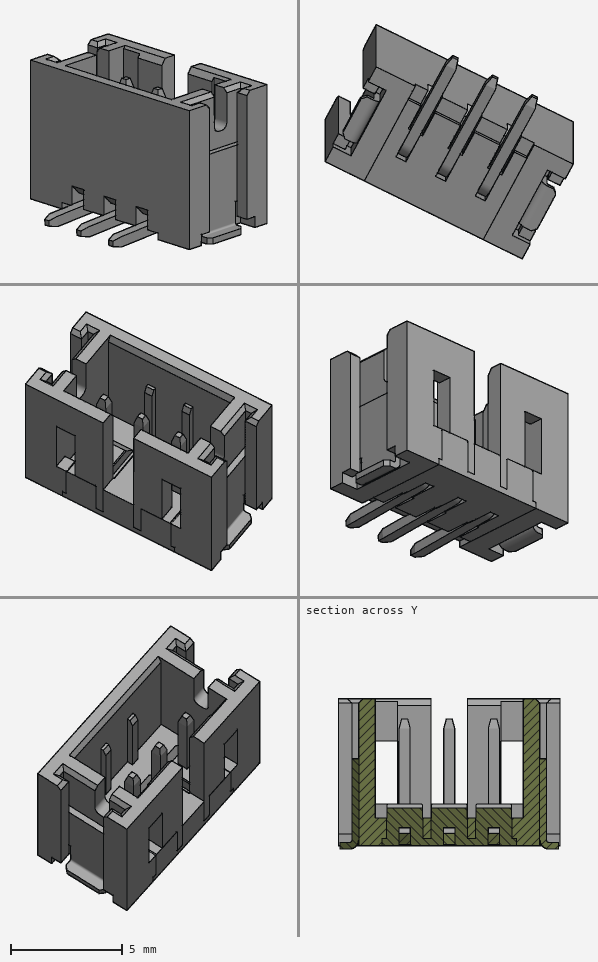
import cadquery as cq
import math


LENGTH = 9.95
DEPTH = 5.0
HEIGHT = 6.6
FRONT = -DEPTH / 2
BACK = DEPTH / 2

PIN_COUNT = 3
PITCH = 2.0
PIN_XS = [(i - (PIN_COUNT - 1) / 2) * PITCH for i in range(PIN_COUNT)]

PIN_SIZE = 0.5
POST_Y = 0.59
POST_FRONT = POST_Y - PIN_SIZE / 2
POST_BACK = POST_Y + PIN_SIZE / 2
TIP_LENGTH = 0.43
TIP_SIZE = 0.27
POST_TOP = 5.69
INNER_BEND = 0.2
OUTER_BEND = INNER_BEND + PIN_SIZE
LEG_ANGLE = 3.0
LEG_REACH = 2.0
SOLDER_LEVEL = -0.15

CAVITY_LENGTH = 6.64
CAVITY_FRONT = -1.79
CAVITY_BACK = 1.68
FLOOR = 1.25
LEAD_IN_HEIGHT = 0.3
FRONT_LEAD_IN = 0.17
BACK_LEAD_IN = 0.21

GAP_WIDTH = 1.63
RECESS_INNER_X = 2.32
RECESS_DEPTH = 0.12
WINDOW_TOP = 4.7

U_WIDTH = 0.8
U_Y = 0.44
U_BOTTOM = WINDOW_TOP
U_RADIUS = 0.31

RIB_WIDTH = 0.4
RIB_DEPTH = 0.28
RIB_CHAMFER = 0.14

TAB_THICKNESS = 0.3
TAB_OUTER_X = 4.37
TAB_INNER_X = TAB_OUTER_X - TAB_THICKNESS
TAB_WIDTH = 3.44
SLOT_MOUTH = 2.4
SLOT_CHAMFER = 0.2
FLANGE_NOTCH_HEIGHT = 0.52

TAB_TOP = 3.91
FOOT_WIDTH = 2.2
FOOT_SHOULDER = 1.25
FOOT_END_X = 4.91
FOOT_CHAMFER = 0.2
FOOT_INNER_BEND = 0.1
FOOT_OUTER_BEND = FOOT_INNER_BEND + TAB_THICKNESS

HUMP_WIDTH = 1.6
HUMP_SLOPE = 0.63
HUMP_TOP = FLOOR + HUMP_SLOPE
HUMP_CHAMFER = 0.05
RETAINER_FRONT = -0.58
BASE_LENGTH = 6.0
BASE_FRONT = CAVITY_FRONT
BASE_HEIGHT = 0.31
LEG_NOTCH_WIDTH = 0.72
LEG_NOTCH_HEIGHT = 0.8
LEG_NOTCH_FLARE = 0.45


def block(x_range, y_range, z_range):
    """Box between two limits on each axis."""
    (x0, x1), (y0, y1), (z0, z1) = x_range, y_range, z_range
    return cq.Workplane("XY").box(x1 - x0, y1 - y0, z1 - z0, centered=False).translate((x0, y0, z0))


def centered_range(middle, width):
    return (middle - width / 2, middle + width / 2)


def extrude_along_x(points, middle, width):
    """Prism with the given (y, z) outline, centred on x = middle."""
    outline = cq.Workplane("YZ").polyline(points).close()
    return outline.extrude(width / 2, both=True).translate((middle, 0, 0))


def both_ends(solid):
    """The solid together with its mirror image at the other end of the housing."""
    return solid.union(solid.mirror("YZ"))




def make_pin(x):
    """Square pin: upright post, bend, and a leg sloping gently down toward -Y; both tips taper."""
    angle = math.radians(LEG_ANGLE)
    cos_a, sin_a = math.cos(angle), math.sin(angle)
    half = PIN_SIZE / 2

    leg_end_y = FRONT - LEG_REACH + TIP_LENGTH * cos_a + TIP_SIZE / 2 * sin_a
    leg_end_z = SOLDER_LEVEL + half * cos_a
    top_corner = (leg_end_y - half * sin_a, leg_end_z + half * cos_a)
    bottom_corner = (leg_end_y + half * sin_a, leg_end_z - half * cos_a)
    inner_bend = (POST_FRONT, top_corner[1] + (POST_FRONT - top_corner[0]) * math.tan(angle))
    outer_bend = (POST_BACK, bottom_corner[1] + (POST_BACK - bottom_corner[0]) * math.tan(angle))

    post_end = POST_TOP - TIP_LENGTH
    outline = [
        (POST_FRONT, post_end),
        inner_bend,
        top_corner,
        bottom_corner,
        outer_bend,
        (POST_BACK, post_end),
    ]
    pin = extrude_along_x(outline, 0, PIN_SIZE)
    for corner, radius in ((inner_bend, INNER_BEND), (outer_bend, OUTER_BEND)):
        pin = pin.edges(cq.NearestToPointSelector((0, *corner))).fillet(radius)

    tips = (
        cq.Plane((0, POST_Y, post_end), xDir=(1, 0, 0), normal=(0, 0, 1)),
        cq.Plane((0, leg_end_y, leg_end_z), xDir=(1, 0, 0), normal=(0, -cos_a, -sin_a)),
    )
    for plane in tips:
        base = cq.Workplane(plane).rect(PIN_SIZE, PIN_SIZE)
        pin = pin.union(base.workplane(offset=TIP_LENGTH).rect(TIP_SIZE, TIP_SIZE).loft())
    return pin.translate((x, 0, 0))


def leg_notch(x):
    """Passage for one pin leg under the floor, flaring upward at 45 degrees at the front face."""
    outline = [
        (FRONT, 0),
        (FRONT, LEG_NOTCH_HEIGHT + LEG_NOTCH_FLARE),
        (FRONT + LEG_NOTCH_FLARE, LEG_NOTCH_HEIGHT),
        (RETAINER_FRONT, LEG_NOTCH_HEIGHT),
        (RETAINER_FRONT, 0),
    ]
    return extrude_along_x(outline, x, LEG_NOTCH_WIDTH)




def retainer_hump(x):
    """Raised block around one post, sloping at 45 degrees at the front and running to the back."""
    outline = [
        (RETAINER_FRONT, 0),
        (RETAINER_FRONT, FLOOR),
        (RETAINER_FRONT + HUMP_SLOPE, HUMP_TOP),
        (BACK, HUMP_TOP),
        (BACK, 0),
    ]
    hump = extrude_along_x(outline, x, HUMP_WIDTH)
    return hump.faces(">Z").edges("|Y").chamfer(HUMP_CHAMFER)


def retainer_envelope():
    """Base plate, humps and the filler of the gap, without the pin seats.

    This is also the shape of the housing's opening for the retainer.
    """
    base = block(centered_range(0, BASE_LENGTH), (BASE_FRONT, BACK), (0, BASE_HEIGHT))
    gap_filler = block(centered_range(0, GAP_WIDTH), (CAVITY_BACK, BACK), (0, HUMP_TOP))
    body = base.union(gap_filler)
    for x in PIN_XS:
        body = body.union(retainer_hump(x))
    return body


def make_retainer():
    body = retainer_envelope()
    for x in PIN_XS:
        leg_slot = block(
            centered_range(x, PIN_SIZE), (RETAINER_FRONT, POST_BACK), (0, LEG_NOTCH_HEIGHT)
        )
        body = body.cut(leg_notch(x)).cut(leg_slot).cut(make_pin(x))
    return body




def make_tab(side):
    """Upright plate with a narrower lower part bent outward into a foot; side is -1 or +1."""
    plate = block(
        (TAB_INNER_X, TAB_OUTER_X), centered_range(0, TAB_WIDTH), (FOOT_SHOULDER, TAB_TOP)
    )
    foot_top = SOLDER_LEVEL + TAB_THICKNESS
    foot = (
        cq.Workplane("XZ")
        .moveTo(TAB_INNER_X, FOOT_SHOULDER)
        .lineTo(TAB_INNER_X, SOLDER_LEVEL + FOOT_OUTER_BEND)
        .radiusArc((TAB_INNER_X + FOOT_OUTER_BEND, SOLDER_LEVEL), -FOOT_OUTER_BEND)
        .lineTo(FOOT_END_X, SOLDER_LEVEL)
        .lineTo(FOOT_END_X, foot_top)
        .lineTo(TAB_OUTER_X + FOOT_INNER_BEND, foot_top)
        .radiusArc((TAB_OUTER_X, foot_top + FOOT_INNER_BEND), FOOT_INNER_BEND)
        .lineTo(TAB_OUTER_X, FOOT_SHOULDER)
        .close()
        .extrude(FOOT_WIDTH / 2, both=True)
    )
    foot = foot.faces(">X").edges("|Z").chamfer(FOOT_CHAMFER)
    tab = plate.union(foot)
    return tab if side > 0 else tab.mirror("YZ")




def cavity():
    """Plug cavity with lead-in slopes along the tops of the front and back walls."""
    lead_in_start = HEIGHT - LEAD_IN_HEIGHT
    outline = [
        (CAVITY_FRONT, FLOOR),
        (CAVITY_FRONT, lead_in_start),
        (CAVITY_FRONT - FRONT_LEAD_IN, HEIGHT),
        (CAVITY_BACK + BACK_LEAD_IN, HEIGHT),
        (CAVITY_BACK, lead_in_start),
        (CAVITY_BACK, FLOOR),
    ]
    return extrude_along_x(outline, 0, CAVITY_LENGTH)


def back_wall_openings():
    """Central gap, and at each end a shallow recess with a window through its lower part."""
    end_x = (RECESS_INNER_X, CAVITY_LENGTH / 2)
    recess = block(end_x, (CAVITY_BACK, CAVITY_BACK + RECESS_DEPTH), (FLOOR, HEIGHT))
    window = block(end_x, (CAVITY_BACK, BACK), (HUMP_TOP, WINDOW_TOP))
    gap = block(centered_range(0, GAP_WIDTH), (CAVITY_BACK, BACK), (HUMP_TOP, HEIGHT))
    return both_ends(recess.union(window)).union(gap)


def u_notches():
    """Round-bottomed notches through both end walls."""
    notch = block((0, LENGTH / 2), centered_range(U_Y, U_WIDTH), (U_BOTTOM, HEIGHT))
    return both_ends(notch.faces("<Z").edges("|X").fillet(U_RADIUS))


def tab_slot_outline(growth):
    """Corners of a T-shaped tab slot that opens outward, widened by growth on every side."""
    inner_x = TAB_INNER_X - growth
    shoulder_x = TAB_OUTER_X + growth
    mouth_x = LENGTH / 2 + SLOT_CHAMFER
    half_slot = TAB_WIDTH / 2 + growth
    half_mouth = SLOT_MOUTH / 2 + growth
    return [
        (inner_x, -half_slot),
        (shoulder_x, -half_slot),
        (shoulder_x, -half_mouth),
        (mouth_x, -half_mouth),
        (mouth_x, half_mouth),
        (shoulder_x, half_mouth),
        (shoulder_x, half_slot),
        (inner_x, half_slot),
    ]


def tab_slots():
    """Tab slots with chamfered top edges and a notch across both flanges at the bottom."""
    slot = cq.Workplane("XY").polyline(tab_slot_outline(0)).close().extrude(HEIGHT)
    chamfer_start = cq.Workplane("XY", origin=(0, 0, HEIGHT - SLOT_CHAMFER))
    flare = (
        chamfer_start.polyline(tab_slot_outline(0))
        .close()
        .workplane(offset=SLOT_CHAMFER)
        .polyline(tab_slot_outline(SLOT_CHAMFER))
        .close()
        .loft(ruled=True)
    )
    flange_notch = block(
        (TAB_INNER_X, LENGTH / 2), centered_range(0, TAB_WIDTH), (0, FLANGE_NOTCH_HEIGHT)
    )
    return both_ends(slot.union(flare).union(flange_notch))


def front_rib(x):
    """Rib on the inside of the front wall with a slanted top."""
    rib_face = CAVITY_FRONT + RIB_DEPTH
    outline = [
        (CAVITY_FRONT, FLOOR),
        (rib_face, FLOOR),
        (rib_face, WINDOW_TOP - LEAD_IN_HEIGHT),
        (rib_face - RIB_CHAMFER, WINDOW_TOP),
        (CAVITY_FRONT, WINDOW_TOP),
    ]
    return extrude_along_x(outline, x, RIB_WIDTH)


def make_housing():
    body = block(centered_range(0, LENGTH), (FRONT, BACK), (0, HEIGHT))
    body = body.cut(cavity()).cut(back_wall_openings()).cut(u_notches()).cut(tab_slots())
    base_recess = block(centered_range(0, BASE_LENGTH), (FRONT, BACK), (0, BASE_HEIGHT))
    body = body.cut(base_recess).cut(retainer_envelope())
    for x in PIN_XS:
        body = body.cut(leg_notch(x))
    for x in (-PITCH / 2, PITCH / 2):
        body = body.union(front_rib(x))
    return body



housing = make_housing()
retainer = make_retainer()
pins = [make_pin(x) for x in PIN_XS]
tabs = [make_tab(side) for side in (-1, 1)]

bodies = [housing, retainer, *pins, *tabs]
result = cq.Compound.makeCompound([body.solids().val() for body in bodies])